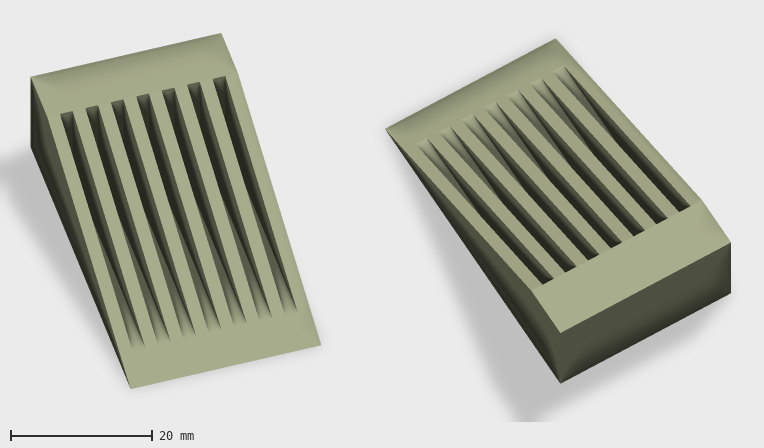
import cadquery as cq

length = 48.0
width = 28.2
height = 15.0
plateau_length = 7.95

groove_count = 7
groove_width = width / (2 * groove_count + 1)
groove_pitch = 2 * groove_width
groove_end = 42.75

floor_height = height * (length - groove_end) / (length - plateau_length)


def wedge():
    """Block with a flat plateau and a slope down to a sharp edge."""
    return (
        cq.Workplane("XZ")
        .polyline([(0, 0), (length, 0), (plateau_length, height), (0, height)])
        .close()
        .extrude(-width)
    )


def groove_cutter(start_y):
    """Box that cuts one level-floored groove, starting upright at the plateau edge."""
    return (
        cq.Workplane("XY")
        .box(groove_end - plateau_length, groove_width, height - floor_height, centered=False)
        .translate((plateau_length, start_y, floor_height))
    )


result = wedge()
for index in range(groove_count):
    result = result.cut(groove_cutter(groove_width + index * groove_pitch))